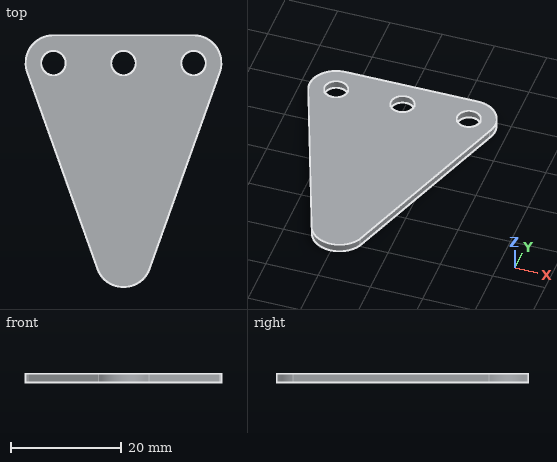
import cadquery as cq
import math

length = 45.65
thickness = 1.6
corner_radius = 5.05
hole_spacing = 12.7
hole_diameter = 4.4
side_drop = 2.1

top_y = length / 2 - corner_radius
tip_y = -top_y

side_reach = math.sqrt(corner_radius**2 - side_drop**2)
shoulder = (hole_spacing + side_reach, top_y - side_drop)
tip_shoulder = (side_reach, tip_y - side_drop)

arc_angle = math.pi / 2 + math.asin(side_drop / corner_radius)
mid_angle = math.pi / 2 - arc_angle / 2
corner_mid = (
    hole_spacing + corner_radius * math.cos(mid_angle),
    top_y + corner_radius * math.sin(mid_angle),
)


def mirrored(point):
    """Reflect a point across the plate's centreline."""
    return (-point[0], point[1])


plate = (
    cq.Workplane("XY")
    .moveTo(-hole_spacing, length / 2)
    .lineTo(hole_spacing, length / 2)
    .threePointArc(corner_mid, shoulder)
    .lineTo(*tip_shoulder)
    .threePointArc((0, -length / 2), mirrored(tip_shoulder))
    .lineTo(*mirrored(shoulder))
    .threePointArc(mirrored(corner_mid), (-hole_spacing, length / 2))
    .close()
    .extrude(thickness)
)

hole_centres = [(i * hole_spacing, top_y) for i in (-1, 0, 1)]
holes = (
    cq.Workplane("XY")
    .pushPoints(hole_centres)
    .circle(hole_diameter / 2)
    .extrude(thickness)
)

result = plate.cut(holes)